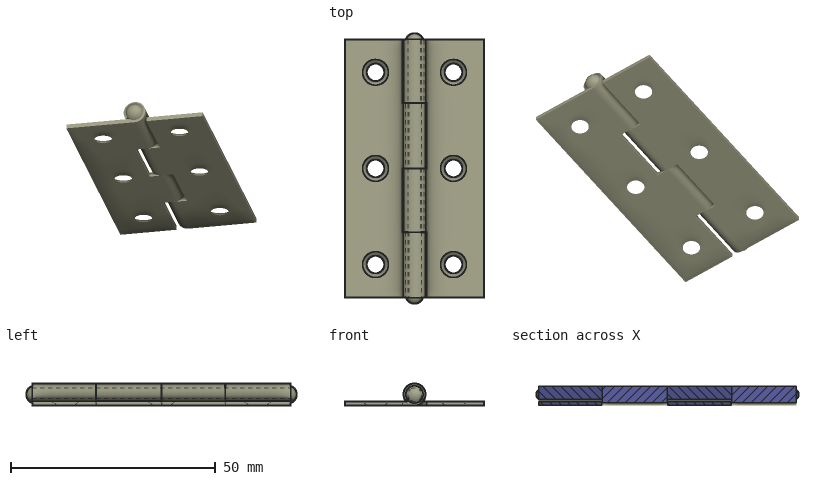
import cadquery as cq
import math

pin_length = 66.1
leaf_length = 63.0
hinge_width = 34.0

pin_diameter = 3.4
knuckle_diameter = 5.4
knuckle_inner_radius = pin_diameter / 2
knuckle_radius = knuckle_diameter / 2
sheet = knuckle_radius - knuckle_inner_radius
axis_height = knuckle_radius
roll_tip_gap = 0.1

knuckle_gap = 0.05
left_knuckle_length = 15.9
right_knuckle_length = (leaf_length - 2 * left_knuckle_length) / 2 - knuckle_gap
slot_half_width = 3.0

head_diameter = 4.2
head_height = (pin_length - leaf_length) / 2

hole_diameter = 4.2
countersink_diameter = 6.3
hole_offset = 9.5
hole_pitch = 23.45
holes_per_leaf = 3


def make_knuckle(y_start, length):
    """Strip of sheet rolled round the pin, joined to a flat leaf on its -X side."""
    tip_angle = math.pi + math.asin((axis_height - sheet - roll_tip_gap) / knuckle_radius)
    tip_x = math.cos(tip_angle)
    tip_z = math.sin(tip_angle)
    return (
        cq.Workplane("XZ", origin=(0, y_start, axis_height))
        .moveTo(-slot_half_width, -knuckle_radius)
        .lineTo(0, -knuckle_radius)
        .threePointArc((0, knuckle_radius), (knuckle_radius * tip_x, knuckle_radius * tip_z))
        .lineTo(knuckle_inner_radius * tip_x, knuckle_inner_radius * tip_z)
        .threePointArc((0, knuckle_inner_radius), (0, -knuckle_inner_radius))
        .lineTo(-slot_half_width, -knuckle_inner_radius)
        .close()
        .extrude(-length)
    )


def make_leaf(knuckle_starts, knuckle_length):
    """Leaf on the -X side of the pin with rolled knuckles and fully countersunk holes."""
    leaf = (
        cq.Workplane("XY", origin=(-hinge_width / 2, 0, 0))
        .box(hinge_width / 2 - slot_half_width, leaf_length, sheet, centered=(False, True, False))
    )
    for row in range(holes_per_leaf):
        y = (row - (holes_per_leaf - 1) / 2) * hole_pitch
        cone = cq.Solid.makeCone(
            hole_diameter / 2, countersink_diameter / 2, sheet, pnt=cq.Vector(-hole_offset, y, 0)
        )
        leaf = leaf.cut(cq.Workplane(cone))
    for y_start in knuckle_starts:
        leaf = leaf.union(make_knuckle(y_start, knuckle_length))
    return leaf


def make_pin():
    """Straight pin with a spherical dome head closing each end of the barrel."""
    half_leaf = leaf_length / 2
    half_pin = pin_length / 2
    head_radius = head_diameter / 2
    dome_radius = (head_radius**2 + head_height**2) / (2 * head_height)
    dome_center = half_pin - dome_radius
    mid = dome_radius * math.sqrt(0.5)
    return (
        cq.Workplane("XY")
        .moveTo(0, -half_pin)
        .threePointArc((mid, -dome_center - mid), (head_radius, -half_leaf))
        .lineTo(pin_diameter / 2, -half_leaf)
        .lineTo(pin_diameter / 2, half_leaf)
        .lineTo(head_radius, half_leaf)
        .threePointArc((mid, dome_center + mid), (0, half_pin))
        .close()
        .revolve(360, (0, 0, 0), (0, 1, 0))
        .translate((0, 0, axis_height))
    )


front_end = -leaf_length / 2
knuckle_starts = (front_end, knuckle_gap / 2)
left_leaf = make_leaf(knuckle_starts, left_knuckle_length)

right_leaf = make_leaf(knuckle_starts, right_knuckle_length).rotate((0, 0, 0), (0, 0, 1), 180)

pin = make_pin()

result = cq.Compound.makeCompound([left_leaf.val(), right_leaf.val(), pin.val()])